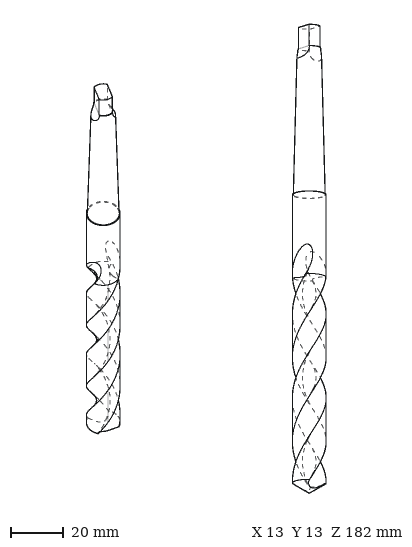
import cadquery as cq
import math

TOTAL_LENGTH = 182.0
DIAMETER = 13.0
RADIUS = DIAMETER / 2
JOINT_Z = 84.3
POINT_LENGTH = 4.0

SHANK_LENGTH = 65.5
SHANK_Z = TOTAL_LENGTH - SHANK_LENGTH
TAPER_BASE_DIAMETER = 12.2
TAPER_TOP_DIAMETER = 9.3

TANG_LENGTH = 8.4
TANG_Z = TOTAL_LENGTH - TANG_LENGTH
TANG_DIAMETER = 8.7
TANG_THICKNESS = 5.3
TANG_RELIEF_RADIUS = 5.5

FLUTE_COUNT = 2
FLUTE_PITCH = 65.5
FLUTE_RADIUS = 5.5
CORE_RADIUS = 2.5
FLUTE_CENTRE = CORE_RADIUS + FLUTE_RADIUS
RUNOUT_HEIGHT = 18.2
FLUTE_STEP = 360 / FLUTE_COUNT


def flute_cutter():
    """Helical groove that reaches the -Y side at the joint plane."""
    twist = 360 * JOINT_Z / FLUTE_PITCH
    return (
        cq.Workplane("XY")
        .moveTo(0, -FLUTE_CENTRE)
        .circle(FLUTE_RADIUS)
        .twistExtrude(JOINT_Z, twist)
        .rotate((0, 0, 0), (0, 0, 1), -twist)
    )


def runout_cutter():
    """Straight continuation of a flute, tangent to its helix at the joint plane."""
    sideways = RUNOUT_HEIGHT * 2 * math.pi * FLUTE_CENTRE / FLUTE_PITCH
    path = cq.Workplane("XZ", origin=(0, -FLUTE_CENTRE, JOINT_Z)).lineTo(sideways, RUNOUT_HEIGHT)
    return cq.Workplane("XY", origin=(0, -FLUTE_CENTRE, JOINT_Z)).circle(FLUTE_RADIUS).sweep(path)


def cut_around_axis(body, cutter):
    """Cut one copy of the cutter for each flute."""
    for index in range(FLUTE_COUNT):
        body = body.cut(cutter.rotate((0, 0, 0), (0, 0, 1), index * FLUTE_STEP))
    return body


def make_drill():
    """Fluted cylinder with a conical point."""
    blank = (
        cq.Workplane("XZ")
        .polyline([(0, 0), (RADIUS, POINT_LENGTH), (RADIUS, JOINT_Z), (0, JOINT_Z)])
        .close()
        .revolve(360, (0, 0), (0, 1))
    )
    return cut_around_axis(blank, flute_cutter())


def tang_side_relief():
    """Material beside the +Y tang flat, ending below in a concave arc."""
    flat_y = TANG_THICKNESS / 2
    outer_y = flat_y + TANG_RELIEF_RADIUS
    arc_offset = TANG_RELIEF_RADIUS * math.sqrt(0.5)
    return (
        cq.Workplane("YZ")
        .moveTo(flat_y, TOTAL_LENGTH)
        .lineTo(flat_y, TANG_Z)
        .threePointArc((outer_y - arc_offset, TANG_Z - arc_offset), (outer_y, TANG_Z - TANG_RELIEF_RADIUS))
        .lineTo(outer_y, TOTAL_LENGTH)
        .close()
        .extrude(RADIUS, both=True)
    )


def make_shank():
    """Cylindrical neck with flute runouts, a taper and a flattened tang."""
    blank = (
        cq.Workplane("XZ")
        .moveTo(0, JOINT_Z)
        .lineTo(RADIUS, JOINT_Z)
        .lineTo(RADIUS, SHANK_Z)
        .lineTo(TAPER_BASE_DIAMETER / 2, SHANK_Z)
        .lineTo(TAPER_TOP_DIAMETER / 2, TANG_Z)
        .lineTo(TANG_DIAMETER / 2, TANG_Z)
        .lineTo(TANG_DIAMETER / 2, TOTAL_LENGTH)
        .lineTo(0, TOTAL_LENGTH)
        .close()
        .revolve(360, (0, 0), (0, 1))
    )
    relief = tang_side_relief()
    blank = blank.cut(relief).cut(relief.mirror("XZ"))
    return cut_around_axis(blank, runout_cutter())


drill = make_drill()
shank = make_shank()
result = cq.Compound.makeCompound([drill.val(), shank.val()])